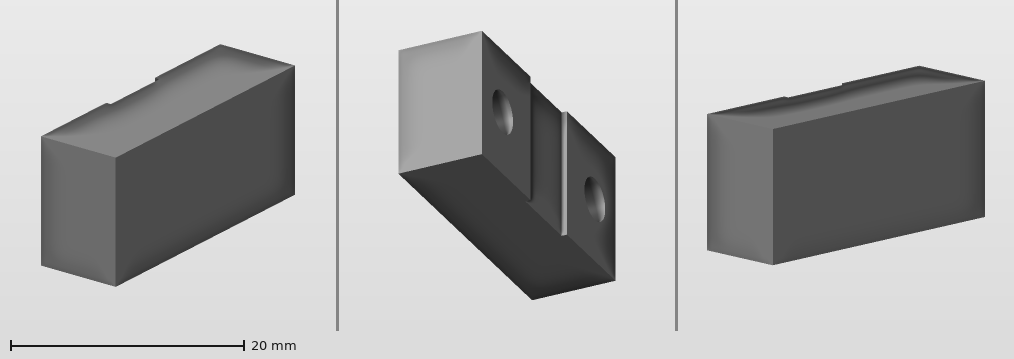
import cadquery as cq

width = 8.0
length = 25.76
height = 12.0

channel_width = 7.0
channel_depth = 0.5

hole_diameter = 4.0
hole_depth = 6.0
hole_end_distance = 4.0

front_face_x = -width / 2
hole_y = length / 2 - hole_end_distance


def make_block():
    return cq.Workplane("XY").box(width, length, height)


def make_channel():
    channel = cq.Workplane("XY").box(channel_depth, channel_width, height)
    return channel.translate((front_face_x + channel_depth / 2, 0, 0))


def make_holes():
    face_plane = cq.Workplane("YZ", origin=(front_face_x, 0, 0))
    centres = [(-hole_y, 0), (hole_y, 0)]
    return face_plane.pushPoints(centres).circle(hole_diameter / 2).extrude(hole_depth)


result = make_block().cut(make_channel()).cut(make_holes())